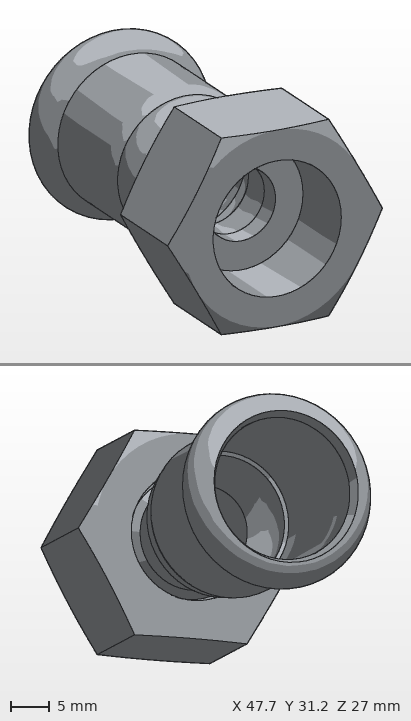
import cadquery as cq
import math

TOTAL_LENGTH = 47.7

BEAD_CREST_X = 3.35
BEAD_LENGTH = 6.6
BEAD_DIAMETER = 25.55
BODY_DIAMETER = 21.3
BODY_END_X = 20.05
SHOULDER_X = 22.15
DOME_START_X = 22.35
DOME_END_X = 25.8
DOME_DIAMETER = 20.0
DOME_END_DIAMETER = 17.75
NECK_START_X = 28.5
NECK_DIAMETER = 14.0
DOME_BULGE = 0.45
NECK_BLEND_SAG = 0.1

MOUTH_DIAMETER = 20.0
MOUTH_DEPTH = 1.4
LAND_LENGTH = 0.4
SOCKET_DIAMETER = 18.7
RELIEF_DIAMETER = 19.0
RELIEF_START_X = 4.7
RELIEF_END_X = 5.55
SOCKET_START_X = 6.45
STOP_DIAMETER = 18.0
DOME_BORE_DIAMETER = 17.0
DOME_BORE_END_DIAMETER = 15.3
NECK_BORE_START_DIAMETER = 11.45
NECK_BORE_DIAMETER = 11.0
TAIL_BORE_DIAMETER = 10.0
BORE_STEP_X = 34.35

FLARE_START_X = 33.85
FLARE_END_DIAMETER = 16.0
FLANGE_DIAMETER = 18.0
FLANGE_LENGTH = 2.4

NUT_START_X = 33.2
NUT_ACROSS_FLATS = 27.0
NUT_FACE_DIAMETER = 26.9
NUT_CHAMFER_LENGTH = 0.6
NUT_MOUTH_DIAMETER = 17.0
NUT_LIP_LENGTH = 1.9
NUT_THREAD_DIAMETER = 18.6

NUT_LENGTH = TOTAL_LENGTH - NUT_START_X
NUT_CORNER_DIAMETER = NUT_ACROSS_FLATS / math.cos(math.radians(30))
NUT_SEAT_X = NUT_START_X + NUT_LIP_LENGTH
FLANGE_END_X = NUT_SEAT_X + FLANGE_LENGTH


def turn(profile):
    """Revolve a closed (x, radius) profile about the X axis."""
    return profile.close().revolve(360, (0, 0, 0), (1, 0, 0))


def bulged_middle(start, end, bulge):
    """Middle of an arc that rises by bulge outwards from its chord."""
    dx = end[0] - start[0]
    dr = end[1] - start[1]
    chord = math.hypot(dx, dr)
    return (
        (start[0] + end[0]) / 2 - bulge * dr / chord,
        (start[1] + end[1]) / 2 + bulge * dx / chord,
    )


def make_fitting_outside():
    body_radius = BODY_DIAMETER / 2

    shoulder = (SHOULDER_X, DOME_DIAMETER / 2)
    round_length = SHOULDER_X - BODY_END_X
    round_drop = body_radius - shoulder[1]
    round_radius = (round_length**2 + round_drop**2) / (2 * round_drop)
    half_angle = math.asin(round_length / round_radius) / 2
    round_middle = (
        BODY_END_X + round_radius * math.sin(half_angle),
        body_radius - round_radius * (1 - math.cos(half_angle)),
    )

    dome_start = (DOME_START_X, DOME_DIAMETER / 2)
    dome_end = (DOME_END_X, DOME_END_DIAMETER / 2)
    neck_start = (NECK_START_X, NECK_DIAMETER / 2)
    return turn(
        cq.Workplane("XY")
        .moveTo(0, 0)
        .lineTo(0, MOUTH_DIAMETER / 2)
        .threePointArc((BEAD_CREST_X, BEAD_DIAMETER / 2), (BEAD_LENGTH, body_radius))
        .lineTo(BODY_END_X, body_radius)
        .threePointArc(round_middle, shoulder)
        .lineTo(*dome_start)
        .threePointArc(bulged_middle(dome_start, dome_end, DOME_BULGE), dome_end)
        .threePointArc(bulged_middle(dome_end, neck_start, -NECK_BLEND_SAG), neck_start)
        .lineTo(FLARE_START_X, NECK_DIAMETER / 2)
        .lineTo(NUT_SEAT_X, FLARE_END_DIAMETER / 2)
        .lineTo(NUT_SEAT_X, FLANGE_DIAMETER / 2)
        .lineTo(FLANGE_END_X, FLANGE_DIAMETER / 2)
        .lineTo(FLANGE_END_X, 0)
    )


def make_fitting_bore():
    dome_start = (DOME_START_X, DOME_BORE_DIAMETER / 2)
    dome_end = (DOME_END_X, DOME_BORE_END_DIAMETER / 2)
    neck_start = (NECK_START_X, NECK_BORE_START_DIAMETER / 2)
    return turn(
        cq.Workplane("XY")
        .moveTo(0, 0)
        .lineTo(0, MOUTH_DIAMETER / 2)
        .lineTo(MOUTH_DEPTH, SOCKET_DIAMETER / 2)
        .lineTo(MOUTH_DEPTH + LAND_LENGTH, SOCKET_DIAMETER / 2)
        .lineTo(RELIEF_START_X, RELIEF_DIAMETER / 2)
        .lineTo(RELIEF_END_X, RELIEF_DIAMETER / 2)
        .lineTo(SOCKET_START_X, SOCKET_DIAMETER / 2)
        .lineTo(BODY_END_X, SOCKET_DIAMETER / 2)
        .lineTo(SHOULDER_X, STOP_DIAMETER / 2)
        .lineTo(*dome_start)
        .threePointArc(bulged_middle(dome_start, dome_end, DOME_BULGE), dome_end)
        .threePointArc(bulged_middle(dome_end, neck_start, -NECK_BLEND_SAG), neck_start)
        .lineTo(BORE_STEP_X, NECK_BORE_DIAMETER / 2)
        .lineTo(BORE_STEP_X, TAIL_BORE_DIAMETER / 2)
        .lineTo(FLANGE_END_X, TAIL_BORE_DIAMETER / 2)
        .lineTo(FLANGE_END_X, 0)
    )


def make_fitting():
    return make_fitting_outside().cut(make_fitting_bore())


def make_nut():
    """Hexagon nut, corners along Y, chamfered at both ends."""
    hexagon = (
        cq.Workplane("YZ", origin=(NUT_START_X, 0, 0))
        .polygon(6, NUT_CORNER_DIAMETER)
        .extrude(NUT_LENGTH)
    )
    chamfer_envelope = turn(
        cq.Workplane("XY")
        .moveTo(NUT_START_X, 0)
        .lineTo(NUT_START_X, NUT_FACE_DIAMETER / 2)
        .lineTo(NUT_START_X + NUT_CHAMFER_LENGTH, NUT_CORNER_DIAMETER / 2)
        .lineTo(TOTAL_LENGTH - NUT_CHAMFER_LENGTH, NUT_CORNER_DIAMETER / 2)
        .lineTo(TOTAL_LENGTH, NUT_FACE_DIAMETER / 2)
        .lineTo(TOTAL_LENGTH, 0)
    )
    bore = turn(
        cq.Workplane("XY")
        .moveTo(NUT_START_X, 0)
        .lineTo(NUT_START_X, NUT_MOUTH_DIAMETER / 2)
        .lineTo(NUT_SEAT_X, NUT_MOUTH_DIAMETER / 2)
        .lineTo(NUT_SEAT_X, NUT_THREAD_DIAMETER / 2)
        .lineTo(TOTAL_LENGTH, NUT_THREAD_DIAMETER / 2)
        .lineTo(TOTAL_LENGTH, 0)
    )
    return hexagon.intersect(chamfer_envelope).cut(bore)


fitting = make_fitting()
nut = make_nut()
result = cq.Compound.makeCompound([fitting.val(), nut.val()])